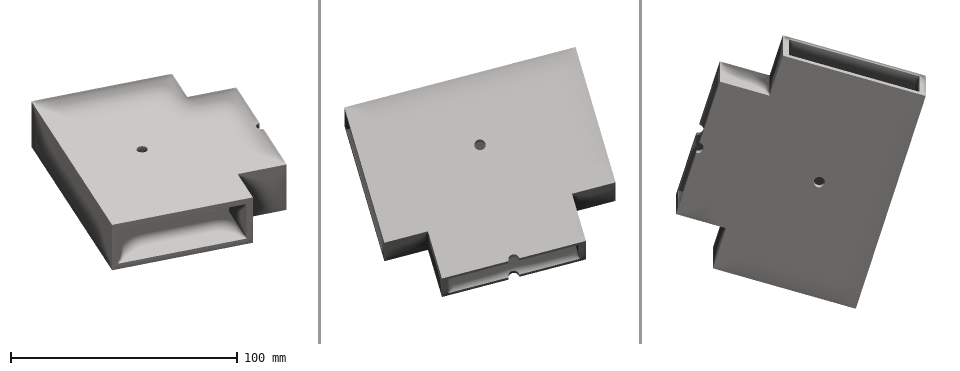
import cadquery as cq

length = 106.0
total_depth = 89.0
height = 24.0
tube_width = 66.0
hole_diameter = 5.0

branch_end = total_depth - tube_width / 2
inner_width = 60.2
inner_height = 18.2


def tee(width, tube_height):
    """Solid tee made of two crossing bars of the same rectangular section."""
    main = cq.Workplane("XY").box(length, width, tube_height)
    branch = cq.Workplane("XY").box(
        width, branch_end, tube_height, centered=(True, False, True)
    )
    return main.union(branch)


body = tee(tube_width, height).cut(tee(inner_width, inner_height))

hole_positions = [(0, 0), (0, branch_end)]
holes = (
    cq.Workplane("XY")
    .pushPoints(hole_positions)
    .circle(hole_diameter / 2)
    .extrude(height / 2, both=True)
)

result = body.cut(holes)